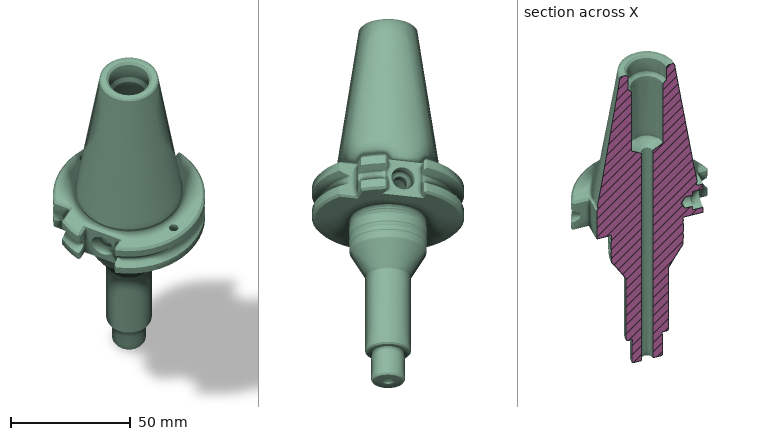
import cadquery as cq
import math

total_length = 161.6
taper_slope = 7 / 48
gauge_radius = 22.23
gauge_z = 93.6
taper_bottom_z = 92.3
taper_end_chamfer = 0.6
neck_radius = 22.0
neck_top_z = 91.3
neck_fillet = 0.8

flange_radius = 31.76
flange_top_z = 90.2
flange_bottom_z = 74.2
flange_chamfer = 1.0
flange_mid_z = (flange_top_z + flange_bottom_z) / 2
groove_radius = 28.0
groove_floor_width = 3.2
groove_mouth_width = 7.1

slot_half_width = 8.0
slot_chamfer = 1.0
back_slot_y = 22.6
front_slot_y = 25.0
notch_x = 18.3
notch_y = 18.5
notch_chamfer = 0.8
notch_corner_radius = 0.6

band_radius = 32.5 / 2
body_radius = 32.0 / 2
band_chamfer = 0.3
bands = [(73.2, 72.1), (70.8, 66.3), (65.0, 62.4)]
body_bottom_z = 59.2
cone_bottom_z = 48.0

shank_radius = 19.0 / 2
shank_bottom_z = 13.1
shank_chamfer = 0.6
tip_radius = 14.0 / 2
undercut_radius = 6.8
undercut_bottom_z = 12.1
tip_top_z = 10.7
tip_chamfer = 0.5
tip_chamfer_height = 0.8

pilot_diameter = 17.0
pilot_mouth_diameter = 19.0
pilot_depth = 8.4
core_diameter = 14.0
core_depth = 43.0
through_diameter = 4.8
drill_point_angle = 118.0

recess_diameter = 10.0
recess_depth = 4.7
recess_floor_radius = 0.3
recess_hole_diameter = 6.0
recess_hole_depth = 8.1

coolant_diameter = 3.9
coolant_circle_radius = 27.0
coolant_angles = [160, -20]
coolant_bottom_z = 80.7


def point_height(diameter):
    """Height of the conical end left by a drill."""
    return diameter / 2 / math.tan(math.radians(drill_point_angle / 2))


def taper_radius(z):
    return gauge_radius - (z - gauge_z) * taper_slope


def revolve_profile(points):
    """Solid of revolution about Z from (radius, z) points."""
    return cq.Workplane("XZ").polyline(points).close().revolve(360, (0, 0, 0), (0, 1, 0))


def drilled_hole(diameter, depth):
    """Blind hole cutter with a drill point, open at z = 0 and running down -Z."""
    radius = diameter / 2
    return revolve_profile([(0, 0), (radius, 0), (radius, -depth), (0, -depth - point_height(diameter))])


def make_body():
    end_radius = taper_radius(total_length)
    points = [
        (0, total_length),
        (end_radius - taper_end_chamfer, total_length),
        (end_radius, total_length - taper_end_chamfer),
        (taper_radius(taper_bottom_z), taper_bottom_z),
        (neck_radius, neck_top_z),
        (neck_radius, flange_top_z),
        (flange_radius - flange_chamfer, flange_top_z),
        (flange_radius, flange_top_z - flange_chamfer),
        (flange_radius, flange_mid_z + groove_mouth_width / 2),
        (groove_radius, flange_mid_z + groove_floor_width / 2),
        (groove_radius, flange_mid_z - groove_floor_width / 2),
        (flange_radius, flange_mid_z - groove_mouth_width / 2),
        (flange_radius, flange_bottom_z + flange_chamfer),
        (flange_radius - flange_chamfer, flange_bottom_z),
        (body_radius, flange_bottom_z),
    ]
    for upper_z, lower_z in bands:
        points += [
            (body_radius, upper_z),
            (band_radius, upper_z - band_chamfer),
            (band_radius, lower_z + band_chamfer),
            (body_radius, lower_z),
        ]
    points += [
        (body_radius, body_bottom_z),
        (shank_radius, cone_bottom_z),
        (shank_radius, shank_bottom_z + shank_chamfer),
        (shank_radius - shank_chamfer, shank_bottom_z),
        (undercut_radius, shank_bottom_z),
        (undercut_radius, undercut_bottom_z),
        (tip_radius, tip_top_z),
        (tip_radius, tip_chamfer_height),
        (tip_radius - tip_chamfer, 0),
        (0, 0),
    ]
    return revolve_profile(points)


def make_neck_fillet():
    """Ring with a concave quarter-round section joining the neck to the flange face."""
    outer_radius = neck_radius + neck_fillet
    upper_z = flange_top_z + neck_fillet
    return (
        cq.Workplane("XZ").moveTo(neck_radius, flange_top_z).lineTo(outer_radius, flange_top_z)
        .radiusArc((neck_radius, upper_z), neck_fillet).close().revolve(360, (0, 0, 0), (0, 1, 0))
    )


def make_bore():
    """Stepped bore from the taper end, running on as a small hole through the tip."""
    mouth_chamfer = (pilot_mouth_diameter - pilot_diameter) / 2
    step = (pilot_diameter - core_diameter) / 2
    core_bottom_z = total_length - core_depth
    funnel_height = point_height(core_diameter) - point_height(through_diameter)
    return revolve_profile([
        (0, total_length),
        (pilot_mouth_diameter / 2, total_length),
        (pilot_diameter / 2, total_length - mouth_chamfer),
        (pilot_diameter / 2, total_length - pilot_depth),
        (core_diameter / 2, total_length - pilot_depth - step),
        (core_diameter / 2, core_bottom_z),
        (through_diameter / 2, core_bottom_z - funnel_height),
        (through_diameter / 2, 0),
        (0, 0),
    ])


def make_slot(floor_y, direction):
    """Drive slot cutter with flared top, bottom and outer edges; direction is +1 or -1 along Y."""
    wide = slot_half_width + slot_chamfer
    right_side = [
        (wide, flange_bottom_z),
        (slot_half_width, flange_bottom_z + slot_chamfer),
        (slot_half_width, flange_top_z - slot_chamfer),
        (wide, flange_top_z),
    ]
    left_side = [(-x, z) for x, z in reversed(right_side)]
    length = flange_radius - floor_y
    channel = (
        cq.Workplane("XZ", origin=(0, direction * floor_y, 0))
        .polyline(right_side + left_side).close().extrude(-direction * length)
    )
    tip_y = math.sqrt(flange_radius**2 - wide**2)
    flare_start = tip_y - slot_chamfer
    flare = [
        (slot_half_width, flare_start),
        (wide, tip_y),
        (wide, flange_radius),
        (-wide, flange_radius),
        (-wide, tip_y),
        (-slot_half_width, flare_start),
    ]
    mouth = (
        cq.Workplane("XY", origin=(0, 0, flange_bottom_z))
        .polyline([(x, direction * y) for x, y in flare]).close()
        .extrude(flange_top_z - flange_bottom_z)
    )
    return channel.union(mouth)


def make_notch():
    """Corner notch cutter at -X, -Y, flared at the top and bottom faces."""
    center_x = -notch_x - flange_radius / 2
    center_y = -notch_y - flange_radius / 2

    def outline(z):
        return cq.Workplane("XY", origin=(center_x, center_y, z)).rect(flange_radius, flange_radius)

    height = flange_top_z - flange_bottom_z
    straight = outline(flange_bottom_z).extrude(height).edges("|Z and >X and >Y").fillet(notch_corner_radius)
    top_flare = outline(flange_top_z - notch_chamfer).extrude(notch_chamfer, taper=-45)
    bottom_flare = outline(flange_bottom_z + notch_chamfer).extrude(-notch_chamfer, taper=-45)
    return straight.union(top_flare).union(bottom_flare)


def make_recess():
    """Round recess and central drilled hole in the front slot floor, along +Y."""
    recess = (
        cq.Workplane("XY").circle(recess_diameter / 2).extrude(-recess_depth)
        .faces("<Z").edges().fillet(recess_floor_radius)
    )
    cutter = recess.union(drilled_hole(recess_hole_diameter, recess_hole_depth))
    return cutter.rotate((0, 0, 0), (1, 0, 0), 90).translate((0, -front_slot_y, flange_mid_z))


result = make_body().union(make_neck_fillet()).cut(make_bore())
result = result.cut(make_slot(back_slot_y, 1)).cut(make_slot(front_slot_y, -1))
result = result.cut(make_notch()).cut(make_recess())

coolant_hole = drilled_hole(coolant_diameter, flange_top_z - coolant_bottom_z)
for angle in coolant_angles:
    hole = coolant_hole.translate((coolant_circle_radius, 0, flange_top_z))
    result = result.cut(hole.rotate((0, 0, 0), (0, 0, 1), angle))